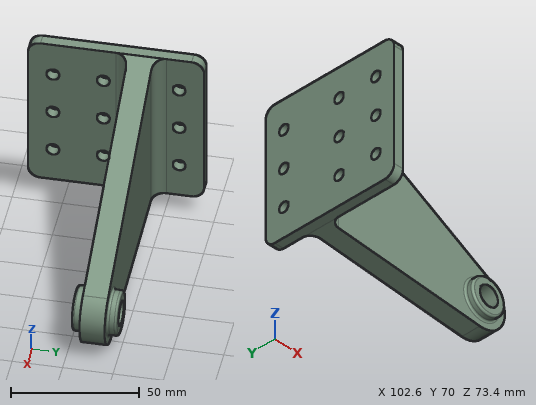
import cadquery as cq
import math

plate_thickness = 5.0
plate_width = 70.0
plate_height = 67.0
plate_corner_radius = 5.0

screw_hole_diameter = 5.0
screw_columns_y = (-25.0, -5.0, 25.0)
screw_row_pitch = 18.7

overall_length = 102.6
arm_thickness = 10.0
arm_y = 10.0
root_fillet_radius = 5.0
arm_end_radius = 13.0
drop_below_plate = 6.4
pivot_x = overall_length - arm_end_radius
pivot_z = arm_end_radius - drop_below_plate

boss_diameter = 18.0
boss_height = 4.0
boss_edge_radius = 1.0
bore_diameter = 10.0


def tangent_point(start_x, start_z, side):
    """Point where a line from the start touches the arm end; side is +1 above, -1 below."""
    dx = start_x - pivot_x
    dz = start_z - pivot_z
    spread = math.acos(arm_end_radius / math.hypot(dx, dz))
    angle = math.atan2(dz, dx) - side * spread
    return (
        pivot_x + arm_end_radius * math.cos(angle),
        pivot_z + arm_end_radius * math.sin(angle),
    )


def make_plate():
    plate = (
        cq.Workplane("YZ")
        .center(0, plate_height / 2)
        .rect(plate_width, plate_height)
        .extrude(plate_thickness)
        .edges("|X")
        .fillet(plate_corner_radius)
    )
    hole_centres = [
        (y, plate_height / 2 + row * screw_row_pitch)
        for y in screw_columns_y
        for row in (-1, 0, 1)
    ]
    holes = (
        cq.Workplane("YZ")
        .pushPoints(hole_centres)
        .circle(screw_hole_diameter / 2)
        .extrude(plate_thickness)
    )
    return plate.cut(holes)


def make_arm():
    side_outline = (
        cq.Workplane("XZ", origin=(0, arm_y + plate_width / 2, 0))
        .moveTo(plate_thickness, 0)
        .lineTo(*tangent_point(plate_thickness, 0, -1))
        .threePointArc((overall_length, pivot_z), tangent_point(plate_thickness, plate_height, 1))
        .lineTo(plate_thickness, plate_height)
        .close()
        .extrude(plate_width)
    )
    half = arm_thickness / 2
    flare = half + root_fillet_radius
    root_end_x = plate_thickness + root_fillet_radius
    plan_outline = (
        cq.Workplane("XY", origin=(0, arm_y, -drop_below_plate))
        .moveTo(plate_thickness, -flare)
        .radiusArc((root_end_x, -half), root_fillet_radius)
        .lineTo(overall_length, -half)
        .lineTo(overall_length, half)
        .lineTo(root_end_x, half)
        .radiusArc((plate_thickness, flare), root_fillet_radius)
        .close()
        .extrude(plate_height + drop_below_plate)
    )
    return side_outline.intersect(plan_outline)


def make_bosses():
    """Both bosses as one turned body: rounded rims and concave fillets at the arm faces."""
    radius = boss_diameter / 2
    face = arm_thickness / 2
    rim = face + boss_height
    outline = (
        cq.Workplane("XY", origin=(pivot_x, arm_y, pivot_z))
        .lineTo(radius + boss_edge_radius, 0)
        .lineTo(radius + boss_edge_radius, face)
        .radiusArc((radius, face + boss_edge_radius), boss_edge_radius)
        .lineTo(radius, rim - boss_edge_radius)
        .radiusArc((radius - boss_edge_radius, rim), -boss_edge_radius)
        .lineTo(0, rim)
        .close()
    )
    half_body = outline.revolve(360, (0, 0, 0), (0, 1, 0))
    return half_body.union(half_body.mirror("XZ", (0, arm_y, 0)))


def make_bore():
    length = arm_thickness + 2 * boss_height
    return (
        cq.Workplane("XZ", origin=(pivot_x, arm_y, pivot_z))
        .circle(bore_diameter / 2)
        .extrude(length / 2, both=True)
    )


result = make_plate().union(make_arm()).union(make_bosses()).cut(make_bore())